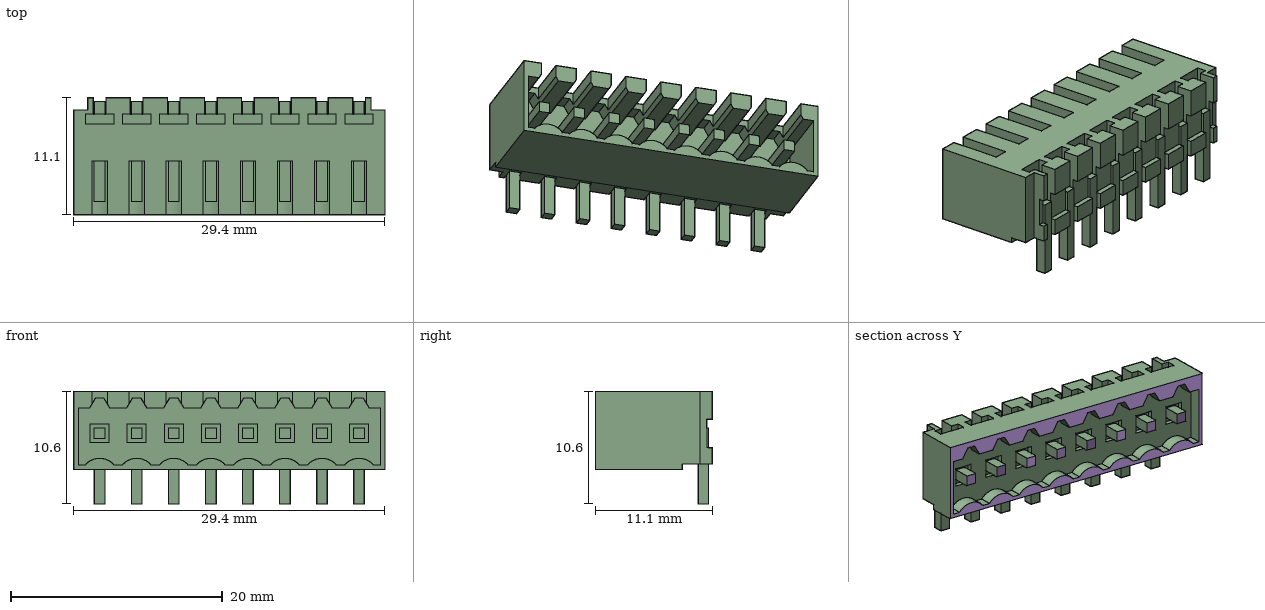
import cadquery as cq


contact_count = 8
pitch = 3.5
contact_places = [(i - (contact_count - 1) / 2) * pitch for i in range(contact_count)]

length = 29.4
housing_height = 7.38
total_depth = 11.05
rib_reach = 1.15
block_depth = total_depth - rib_reach
rear_step_depth = 2.82
rear_step_height = 0.5
end_rib_inset = 1.32

wall = 0.45
cavity_depth = 6.75
top_slot_length = 5.05
cavity_floor = 0.4
cavity_ceiling = housing_height - 1.6
ridge_width = 2.75
ridge_height = 0.65
groove_top = housing_height - 0.62
groove_top_width = 0.75
groove_mouth_width = 1.95
slot_width = 1.45
socket_width = 1.8
socket_depth = 0.5

rear_gap_width = 1.18
rear_gap_depth = 1.55
key_slot_width = 2.68
key_slot_thickness = 0.9
key_slot_depth = 2.65
notch_top = housing_height - 2.65
notch_bottom = housing_height - 5.32
notch_depth = 0.53

pin_width = 1.03
leg_thickness = 1.0
pin_back = total_depth - 0.35
pin_front = 1.23
blade_top = housing_height - 3.45
blade_bottom = blade_top - pin_width
leg_length = 3.25


def block(x_range, y_range, z_range):
    """Box spanning the given ranges."""
    (x0, x1), (y0, y1), (z0, z1) = x_range, y_range, z_range
    return cq.Workplane("XY").box(x1 - x0, y1 - y0, z1 - z0, centered=False).translate((x0, y0, z0))


def centred(x, width):
    """X range of the given width about x."""
    return (x - width / 2, x + width / 2)


def from_front(outline, depth):
    """Outline in X and Z, extruded from the mating face towards the rear."""
    return outline.close().extrude(-depth)


def make_ridge(x):
    base = cq.Workplane("XZ").moveTo(x - ridge_width / 2, cavity_floor)
    arc = base.threePointArc((x, cavity_floor + ridge_height), (x + ridge_width / 2, cavity_floor))
    return from_front(arc, cavity_depth)


def make_groove(x):
    corners = [
        (x - groove_mouth_width / 2, cavity_ceiling),
        (x - groove_top_width / 2, groove_top),
        (x + groove_top_width / 2, groove_top),
        (x + groove_mouth_width / 2, cavity_ceiling),
    ]
    return from_front(cq.Workplane("XZ").polyline(corners), cavity_depth)


def make_cavity():
    """Space inside the mating face, with grooves above and ridges below each contact."""
    cavity = block(centred(0, length - 2 * wall), (0, cavity_depth), (cavity_floor, cavity_ceiling))
    for x in contact_places:
        slot = block(centred(x, slot_width), (0, top_slot_length), (cavity_ceiling, housing_height))
        socket_middle = (blade_top + blade_bottom) / 2
        socket = block(
            centred(x, socket_width),
            (cavity_depth, cavity_depth + socket_depth),
            centred(socket_middle, socket_width),
        )
        cavity = cavity.union(make_groove(x)).union(slot).union(socket).cut(make_ridge(x))
    return cavity


def make_rear_opening(x):
    """Gap between two rear ribs, widening into a blind key slot in the top."""
    slot_back = total_depth - rear_gap_depth
    gap = block(centred(x, rear_gap_width), (slot_back, total_depth), (0, housing_height))
    key_slot = block(
        centred(x, key_slot_width),
        (slot_back - key_slot_thickness, slot_back),
        (housing_height - key_slot_depth, housing_height),
    )
    return gap.union(key_slot)


def make_pin(x):
    """Right-angled contact: a blade towards the mating face and a leg going down."""
    blade = block(centred(x, pin_width), (pin_front, pin_back), (blade_bottom, blade_top))
    leg = block(centred(x, pin_width), (pin_back - leg_thickness, pin_back), (-leg_length, blade_top))
    return blade.union(leg)


def make_housing(pins):
    body = block(centred(0, length), (0, block_depth), (0, housing_height))
    ribs = block(
        (-length / 2 + end_rib_inset, length / 2 - end_rib_inset),
        (block_depth, total_depth),
        (0, housing_height),
    )
    rear_step = block(centred(0, length), (total_depth - rear_step_depth, total_depth), (0, rear_step_height))
    notch = block(centred(0, length), (total_depth - notch_depth, total_depth), (notch_bottom, notch_top))
    body = body.union(ribs).cut(rear_step).cut(notch).cut(make_cavity())
    for x in contact_places:
        body = body.cut(make_rear_opening(x))
    for pin in pins:
        body = body.cut(pin)
    return body


pins = [make_pin(x) for x in contact_places]
housing = make_housing(pins)

result = cq.Compound.makeCompound([housing.val(), *[pin.val() for pin in pins]])